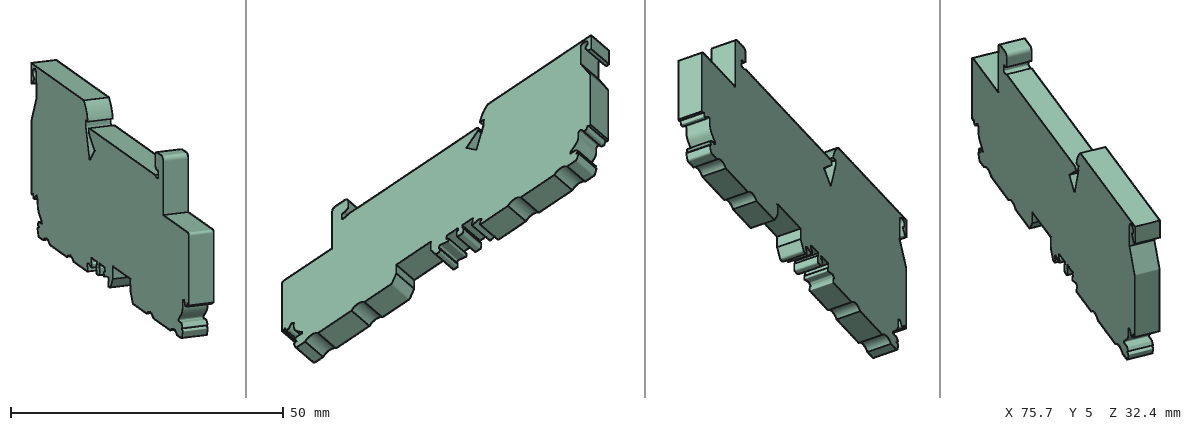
import cadquery as cq
import math

LENGTH = 75.7
HEIGHT = 32.4
THICKNESS = 5.0

BODY_LEFT = 0.15
BODY_AXIS = (BODY_LEFT + LENGTH) / 2
DECK_Z = 27.8
SHOULDER_Z = 21.2
SHOULDER_ROUND = 0.5

WALL_X = 2.6
WALL_BOTTOM = 26.35
SLOPE_BOTTOM = 21.35
SLOPE_ROUND = 0.4
HOOK_TIP_Z = 28.55
HOOK_TIP_WIDTH = 0.7
HOOK_BARB_X = 1.5
HOOK_BARB_Z = 29.8
HOOK_SLOT_BOTTOM = 30.5
HOOK_SLOT_WIDTH = 1.75
HOOK_SLOT_TOP = 31.7
HOOK_SLOT_ROUND = 0.8

NOSE_START = 25.4
NOSE_X = 27.3
NOSE_Z = 28.85
NOSE_TANGENT_X = 26.65
NOSE_TANGENT_Z = 31.05
NOSE_RADIUS = 6.8
GAP_LEFT = 26.3
GAP_TAPER_Z = 27.65
GAP_BOTTOM_X = 28.1
GAP_BOTTOM_Z = 21.65
GAP_BOTTOM_ROUND = 0.2
GAP_RIGHT = 30.5
GAP_RIGHT_Z = 24.15
DECK_LEFT = 27.65
DECK_LIP = 0.9
DECK_ROUND = 0.4

POST_LEFT = 59.5
POST_RIGHT = 63.45
POST_ROUND = 0.9
POST_NECK = 61.05
HEAD_Z = 29.0
HEAD_CHAMFER_WIDTH = 0.75
HEAD_CHAMFER_HEIGHT = 0.45
UNDERCUT_DEPTH = 0.3
UNDERCUT_WIDTH = 1.45
UNDERCUT_RAMP = 0.45

RECESS_LEFT = 39.2
RECESS_RIGHT = 47.7
RECESS_TOP = 4.5
RECESS_FLARE_Z = 2.05
RECESS_FLARE = 1.1

CLIP_TOP = 3.2
CLIP_LEFT = 28.9
CLIP_RIGHT = 35.3
PIN_X = 32.1
PIN_NECK = 1.05
PIN_WIDTH = 1.6
PIN_SHOULDER_Z = 2.35
PIN_SHOULDER_RISE = 0.3
PIN_BOTTOM = 0.8

SCALLOP_DIAMETER = 4.2
SCALLOP_DEPTH = 0.72
SCALLOP_OFFSETS = (19.15, 30.5)



def foot(inset_to_x):
    """Snap foot from the bottom edge up; inset_to_x turns an inset from the side into x."""
    corners = [
        (3.4, 0.0, 0.45),
        (2.9, 1.5, 0.1),
        (3.5, 1.9, 0.0),
        (3.0, 2.3, 0.1),
        (3.55, 2.95, 0.2),
        (5.0, 2.95, 0.15),
        (4.9, 3.3, 0.1),
        (2.95, 5.2, 2.4),
        (2.95, 7.65, 0.4),
        (2.2, 7.65, 0.4),
        (1.75, 6.75, 0.2),
        (1.0, 6.75, 0.15),
        (0.75, 7.6, 0.1),
        (0.4, 7.2, 0.0),
        (0.0, 7.35, 0.0),
    ]
    return [(inset_to_x(inset), z, radius) for inset, z, radius in corners]


def left_foot():
    return foot(lambda inset: BODY_LEFT + inset)


def right_foot():
    return foot(lambda inset: LENGTH - inset)[::-1]


def hook():
    slot_left = WALL_X - HOOK_SLOT_WIDTH
    return [
        (BODY_LEFT, SLOPE_BOTTOM, SLOPE_ROUND),
        (WALL_X, WALL_BOTTOM, 0),
        (WALL_X, HOOK_SLOT_TOP, HOOK_SLOT_ROUND),
        (slot_left, HOOK_SLOT_TOP, HOOK_SLOT_ROUND),
        (slot_left, HOOK_SLOT_BOTTOM, 0.15),
        (HOOK_BARB_X, HOOK_BARB_Z, 0.2),
        (HOOK_TIP_WIDTH, HOOK_TIP_Z, 0.15),
        (0, HOOK_TIP_Z, 0),
        (0, HEIGHT, 0),
    ]


def nose_and_gap():
    """Nose of the tall block and the pointed gap up to the deck edge."""
    return [
        (NOSE_START, HEIGHT, 0),
        (NOSE_TANGENT_X, NOSE_TANGENT_Z, NOSE_RADIUS),
        (NOSE_X, NOSE_Z, 0),
        (GAP_LEFT, NOSE_Z, 0),
        (GAP_LEFT, GAP_TAPER_Z, 0.75),
        (GAP_BOTTOM_X, GAP_BOTTOM_Z, GAP_BOTTOM_ROUND),
        (GAP_RIGHT, GAP_RIGHT_Z, 0),
        (DECK_LEFT, DECK_Z - DECK_LIP, 0),
        (DECK_LEFT, DECK_Z, DECK_ROUND),
    ]


def post_and_shoulder():
    undercut_left = POST_NECK - UNDERCUT_WIDTH
    undercut_z = DECK_Z - UNDERCUT_DEPTH
    return [
        (undercut_left, DECK_Z, 0),
        (undercut_left + UNDERCUT_RAMP, undercut_z, 0.15),
        (POST_NECK, undercut_z, 0.3),
        (POST_NECK, HEAD_Z, 0.3),
        (POST_LEFT + HEAD_CHAMFER_WIDTH, HEAD_Z, 0.15),
        (POST_LEFT, HEAD_Z + HEAD_CHAMFER_HEIGHT, 0.15),
        (POST_LEFT, HEIGHT, POST_ROUND),
        (POST_RIGHT, HEIGHT, POST_ROUND),
        (POST_RIGHT, SHOULDER_Z, 0),
        (LENGTH, SHOULDER_Z, SHOULDER_ROUND),
    ]


def rail_recess():
    return [
        (RECESS_RIGHT + RECESS_FLARE, 0, 0.45),
        (RECESS_RIGHT, RECESS_FLARE_Z, 0),
        (RECESS_RIGHT, RECESS_TOP, 0),
        (RECESS_LEFT, RECESS_TOP, 0),
        (RECESS_LEFT, RECESS_FLARE_Z, 0),
        (RECESS_LEFT - RECESS_FLARE, 0, 0.45),
    ]


def clip_pin():
    """Hanging pin with a thinner neck, from its right side to its left side."""
    right = [
        (PIN_X + PIN_NECK / 2, CLIP_TOP, 0),
        (PIN_X + PIN_NECK / 2, PIN_SHOULDER_Z + PIN_SHOULDER_RISE, 0),
        (PIN_X + PIN_WIDTH / 2, PIN_SHOULDER_Z, 0.1),
        (PIN_X + PIN_WIDTH / 2, PIN_BOTTOM, 0.4),
    ]
    left = [(2 * PIN_X - x, z, radius) for x, z, radius in reversed(right)]
    return right + left


def spring_clip():
    """Two barbed fingers with the pin between them, from right to left."""
    right_finger = [
        (37.0, 0.0, 0.2),
        (37.0, 0.9, 0.0),
        (37.3, 1.1, 0.15),
        (37.0, 1.8, 0.2),
        (34.9, 1.3, 0.2),
        (34.9, 2.1, 0.1),
        (35.5, 2.4, 0.1),
        (CLIP_RIGHT, CLIP_TOP, 0.15),
    ]
    left_finger = [
        (CLIP_LEFT, CLIP_TOP, 0),
        (CLIP_LEFT, 2.3, 0.1),
        (29.2, 2.05, 0.1),
        (29.2, 1.3, 0.15),
        (27.4, 1.75, 0.3),
        (26.8, 1.3, 0.15),
        (27.1, 0.9, 0.1),
        (27.3, 0.0, 0.15),
    ]
    return right_finger + clip_pin() + left_finger


def rounded_plate(corners):
    """Extrude a closed outline of (x, z, corner radius) through the thickness."""
    path = cq.Workplane("XZ").moveTo(*corners[-1][:2])
    points = [cq.Vector(x, z, 0) for x, z, _ in corners]
    for i, (x, z, radius) in enumerate(corners):
        if radius == 0:
            path = path.lineTo(x, z)
            continue
        to_last = (points[i - 1] - points[i]).normalized()
        to_next = (points[(i + 1) % len(points)] - points[i]).normalized()
        half_angle = to_last.getAngle(to_next) / 2
        tangent_length = radius / math.tan(half_angle)
        middle_distance = radius / math.sin(half_angle) - radius
        start = points[i] + to_last * tangent_length
        middle = points[i] + (to_last + to_next).normalized() * middle_distance
        end = points[i] + to_next * tangent_length
        path = path.lineTo(start.x, start.y)
        path = path.threePointArc((middle.x, middle.y), (end.x, end.y))
    return path.close().extrude(-THICKNESS)


def scallops():
    radius = SCALLOP_DIAMETER / 2
    centers = [(BODY_AXIS + side * offset, SCALLOP_DEPTH - radius)
               for offset in SCALLOP_OFFSETS for side in (-1, 1)]
    return cq.Workplane("XZ").pushPoints(centers).circle(radius).extrude(-THICKNESS)


outline = (
    left_foot()
    + hook()
    + nose_and_gap()
    + post_and_shoulder()
    + right_foot()
    + rail_recess()
    + spring_clip()
)

result = rounded_plate(outline).cut(scallops())